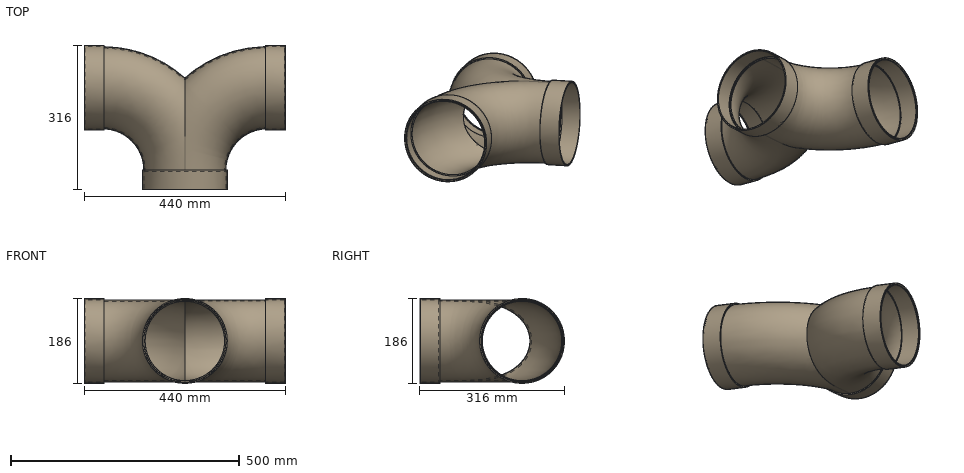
import cadquery as cq


pipe_diameter = 180.0
wall = 3.0
bore_diameter = pipe_diameter - 2 * wall
bend_radius = 180.0

socket_length = 43.0
socket_bore_diameter = pipe_diameter
socket_diameter = socket_bore_diameter + 2 * wall
outlet_overlap = 3.0
inlet_taper_length = 3.0

lip_diameter = 177.0
lip_length = 1.5

inlet_start = bend_radius
inlet_mouth = inlet_start + socket_length
outlet_start = bend_radius - outlet_overlap

SIDES = (-1, 1)


def half_bend(diameter, side):
    """Solid quarter-torus from inlet to outlet, cut off at the X = 0 symmetry plane."""
    bend = (
        cq.Workplane("XZ", origin=(0, -inlet_start, 0))
        .circle(diameter / 2)
        .revolve(90, (side * bend_radius, 0), (side * bend_radius, -side))
    )
    keep_size = 4 * bend_radius
    half_space = cq.Workplane("XY").box(keep_size, keep_size, keep_size)
    return bend.intersect(half_space.translate((side * keep_size / 2, 0, 0)))


def twin_bend(diameter):
    """Both bends merged along the symmetry plane."""
    return half_bend(diameter, -1).union(half_bend(diameter, 1))


def inlet_cylinder(diameter):
    """Cylinder over the full inlet socket length."""
    plane = cq.Workplane("XZ", origin=(0, -inlet_start, 0))
    return plane.circle(diameter / 2).extrude(socket_length)


def inlet_cavity():
    """Inlet socket bore with a taper down to the bend bore at its inner end."""
    bore_radius = bore_diameter / 2
    socket_bore_radius = socket_bore_diameter / 2
    profile = (
        cq.Workplane("XY")
        .moveTo(0, -inlet_start)
        .lineTo(bore_radius, -inlet_start)
        .lineTo(socket_bore_radius, -(inlet_start + inlet_taper_length))
        .lineTo(socket_bore_radius, -inlet_mouth)
        .lineTo(0, -inlet_mouth)
        .close()
    )
    return profile.revolve(360, (0, 0), (0, 1))


def outlet_cylinder(diameter, length, side):
    """Cylinder reaching outward from the inner end of an outlet socket."""
    plane = cq.Workplane("YZ", origin=(side * outlet_start, 0, 0))
    return plane.circle(diameter / 2).extrude(side * length)


def outlet_cavity(side):
    """Outlet socket bore, narrowed by the lip at its mouth."""
    bore = outlet_cylinder(socket_bore_diameter, socket_length - lip_length, side)
    return bore.union(outlet_cylinder(lip_diameter, socket_length, side))


body = twin_bend(pipe_diameter).union(inlet_cylinder(socket_diameter))
for side in SIDES:
    body = body.union(outlet_cylinder(socket_diameter, socket_length, side))

body = body.cut(twin_bend(bore_diameter)).cut(inlet_cavity())
for side in SIDES:
    body = body.cut(outlet_cavity(side))

result = body